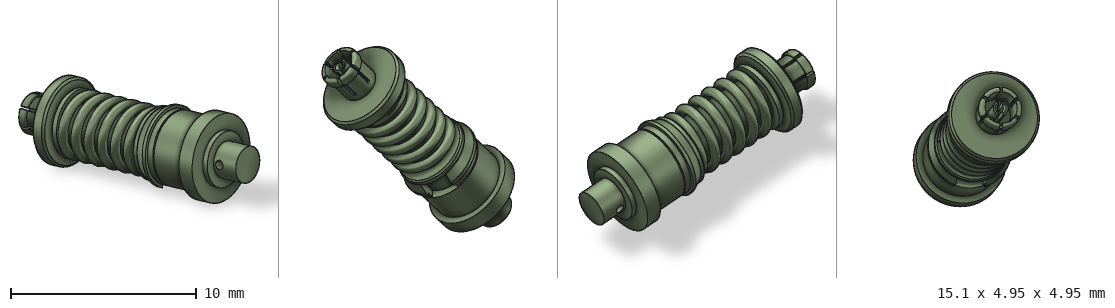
import cadquery as cq
import math

total_length = 15.06

neck_radius = 1.02
lip_radius = 1.16
lip_length = 0.54
lip_front_round = 0.2
lip_back_round = 0.06
collet_bore_radius = 0.87
collet_slot_count = 6
collet_slot_width = 0.15
collet_slot_end = 1.64

pin_front = 0.15
pin_radius = 0.4
pin_bore_radius = 0.17
pin_mouth_radius = 0.3
pin_slot_width = 0.24
pin_slot_end = 1.6
pin_drill_end = 1.75
drill_tip_angle = 118.0

flange_radius = 4.95 / 2
front_flange_start = 2.06
collet_bore_depth = front_flange_start
front_flange_end = 2.88
flange_chamfer = 0.128
rear_flange_start = 12.3
rear_flange_end = 13.21

front_washer_start = 3.0
front_washer_end = 3.37
front_washer_radius = 1.96
front_washer_chamfer = 0.09
gap_neck_radius = 0.95
rod_radius = 1.34
rod_cone_radius = 1.45
rod_cone_end = 3.55
wire_radius = 0.27
coil_radius = 1.7
spring_start = 3.39
spring_length = 5.24
spring_turns = 5.75
spring_pitch = spring_length / spring_turns
rear_washer_start = 8.72
rear_washer_end = 9.04
rear_washer_radius = 2.06
rear_washer_chamfer = 0.09

cone_start_radius = 2.03
cone_end = 9.6
rim_radius = 2.29
rim_end = 9.8
collar_end = 10.18
body_radius = 2.11
collar_gap_width = 1.63

groove_radius = 1.67
body_start = 10.27
step_radius = 1.57
step_end = 13.52
tail_radius = neck_radius
cross_hole_x = 13.92
cross_hole_radius = 0.25

cut_clearance = 0.15


def cylinder_x(start, end, radius):
    """Cylinder around the X axis between two stations."""
    return cq.Workplane("YZ").workplane(offset=start).circle(radius).extrude(end - start)


def make_turned_body():
    """Revolve the outer half profile, from the lip to the tail."""
    arc_offset = 1 - math.sqrt(0.5)
    profile = (
        cq.Workplane("XY")
        .moveTo(0, 0)
        .lineTo(0, lip_radius - lip_front_round)
        .threePointArc(
            (lip_front_round * arc_offset, lip_radius - lip_front_round * arc_offset),
            (lip_front_round, lip_radius),
        )
        .lineTo(lip_length - lip_back_round, lip_radius)
        .threePointArc(
            (lip_length - lip_back_round * arc_offset, lip_radius - lip_back_round * arc_offset),
            (lip_length, lip_radius - lip_back_round),
        )
        .lineTo(lip_length, neck_radius)
        .lineTo(front_flange_start, neck_radius)
        .lineTo(front_flange_start, flange_radius - flange_chamfer)
        .lineTo(front_flange_start + flange_chamfer, flange_radius)
        .lineTo(front_flange_end - flange_chamfer, flange_radius)
        .lineTo(front_flange_end, flange_radius - flange_chamfer)
        .lineTo(front_flange_end, gap_neck_radius)
        .lineTo(front_washer_start, gap_neck_radius)
        .lineTo(front_washer_start, front_washer_radius - front_washer_chamfer)
        .lineTo(front_washer_start + front_washer_chamfer, front_washer_radius)
        .lineTo(front_washer_end, front_washer_radius)
        .lineTo(front_washer_end, rod_cone_radius)
        .lineTo(rod_cone_end, rod_radius)
        .lineTo(rear_washer_start, rod_radius)
        .lineTo(rear_washer_start, rear_washer_radius - rear_washer_chamfer)
        .lineTo(rear_washer_start + rear_washer_chamfer, rear_washer_radius)
        .lineTo(rear_washer_end, rear_washer_radius)
        .lineTo(rear_washer_end, cone_start_radius)
        .lineTo(cone_end, rim_radius)
        .lineTo(rim_end, rim_radius)
        .lineTo(rim_end, body_radius)
        .lineTo(collar_end, body_radius)
        .lineTo(collar_end, groove_radius)
        .lineTo(body_start, groove_radius)
        .lineTo(body_start, body_radius)
        .lineTo(rear_flange_start, body_radius)
        .lineTo(rear_flange_start, flange_radius)
        .lineTo(rear_flange_end, flange_radius)
        .lineTo(rear_flange_end, step_radius)
        .lineTo(step_end, step_radius)
        .lineTo(step_end, tail_radius)
        .lineTo(total_length, tail_radius)
        .lineTo(total_length, 0)
        .close()
    )
    return profile.revolve(360, (0, 0, 0), (1, 0, 0))


def make_spring():
    """Left-handed coil that starts at the bottom of the front washer."""
    path = cq.Wire.makeHelix(spring_pitch, spring_length, coil_radius, lefthand=True)
    coil = (
        cq.Workplane("XZ")
        .center(coil_radius, 0)
        .circle(wire_radius)
        .sweep(cq.Workplane(path), isFrenet=True)
    )
    return coil.rotate((0, 0, 0), (0, 1, 0), 90).translate((spring_start, 0, 0))


def make_collet_cut():
    """Collet bore and the radial slots through its wall."""
    cut = cylinder_x(0, collet_bore_depth, collet_bore_radius)
    slot = cq.Workplane("XY").box(
        collet_slot_end, collet_slot_width, lip_radius + cut_clearance, centered=(False, True, False)
    )
    for index in range(collet_slot_count):
        cut = cut.union(slot.rotate((0, 0, 0), (1, 0, 0), index * 360 / collet_slot_count))
    return cut


def make_pin():
    """Contact pin, split by a vertical slot."""
    pin = cylinder_x(pin_front, collet_bore_depth, pin_radius)
    slot = cq.Workplane("XY").box(
        pin_slot_end, pin_slot_width, 2 * pin_radius, centered=(False, True, True)
    )
    return pin.cut(slot)


def make_pin_drill():
    """Drilled hole along the pin, with a 45 degree mouth and a pointed bottom."""
    mouth_depth = pin_mouth_radius - pin_bore_radius
    tip_depth = pin_bore_radius / math.tan(math.radians(drill_tip_angle / 2))
    profile = (
        cq.Workplane("XY")
        .moveTo(pin_front, 0)
        .lineTo(pin_front, pin_mouth_radius)
        .lineTo(pin_front + mouth_depth, pin_bore_radius)
        .lineTo(pin_drill_end, pin_bore_radius)
        .lineTo(pin_drill_end + tip_depth, 0)
        .close()
    )
    return profile.revolve(360, (0, 0, 0), (1, 0, 0))


def make_collar_gap():
    """Gap through the bottom of the collar, down to the groove floor."""
    block = (
        cq.Workplane("XY")
        .box(collar_end - rear_washer_end, collar_gap_width, rim_radius, centered=(False, True, False))
        .translate((rear_washer_end, 0, -rim_radius))
    )
    return block.cut(cylinder_x(rear_washer_end, collar_end, groove_radius))


def make_cross_hole():
    """Hole through the tail along Y."""
    return (
        cq.Workplane("XZ")
        .center(cross_hole_x, 0)
        .circle(cross_hole_radius)
        .extrude(tail_radius + cut_clearance, both=True)
    )


result = (
    make_turned_body()
    .cut(make_collar_gap())
    .union(make_spring())
    .cut(make_collet_cut())
    .union(make_pin())
    .cut(make_pin_drill())
    .cut(make_cross_hole())
)